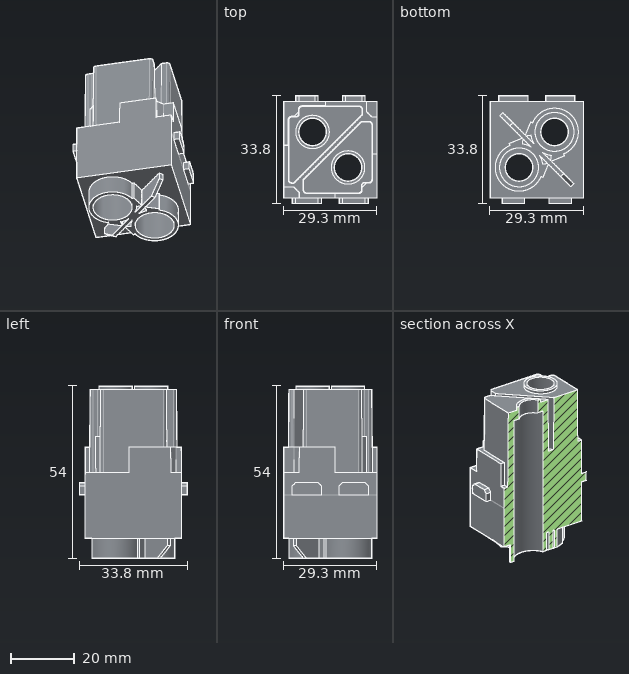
import cadquery as cq
import math


total_height = 53.95
block_bottom = 6.25
lug_bottom = 19.9
ledge_height = 26.9
block_top = 34.8
notch_shelf_height = 38.15
tower_top = 52.9

block_width = 29.3
block_depth = 30.3
draft = 0.5
face_draft = 0.3
ledge_edge_x = -1.5
ledge_edge_y = 1.4
corner_notch_bevel = 1.65
front_notch_x = 9.75
front_notch_y = 11.75
back_notch_x = 11.4
back_notch_y = 10.25

overall_depth = 33.8
lug_reach = (overall_depth - block_depth) / 2
lug_height = 3.8
lug_chamfer = 1.0
lug_center_x = 7.35
front_lug_width = 9.15
back_lug_width = 7.1

tower_outer_x = 13.0
tower_outer_y = 13.55
large_tip_x = 9.9
large_tip_y = 10.35
small_tip_x = 8.35
small_tip_y = 8.75
gap_offset = 1.1
key_notch_x = 9.75
key_notch_y = 10.25
key_shelf_cut = 1.7
tower_round = 0.95

bore_offset = 5.55
rim_radius = 5.25
mouth_radius = 4.25
mouth_depth = 4.6
bore_radius = 6.1
foot_radius = 7.45

rib_thickness = 1.35
rib_length = 31.45
rib_end_height = 4.0
rib_bottom_cut = 4.5
tooth_radius = 8.1
tooth_length = 4.75
tooth_angle = 22.5

overshoot = 2.7


def half_turn(shape):
    return shape.rotate((0, 0, 0), (0, 0, 1), 180)


def make_block():
    block = (
        cq.Workplane("XY", origin=(0, 0, block_bottom))
        .rect(block_width, block_depth)
        .extrude(block_top - block_bottom)
    )
    for cut in (make_face_draft(), make_ledge()):
        block = block.cut(cut).cut(half_turn(cut))
    block = block.cut(make_corner_notch(front_notch_x, front_notch_y))
    return block.cut(half_turn(make_corner_notch(back_notch_x, back_notch_y)))


def make_face_draft():
    front = -block_depth / 2
    rise = block_top - lug_bottom
    return (
        cq.Workplane("YZ", origin=(-block_width / 2 - overshoot, 0, 0))
        .moveTo(front, lug_bottom)
        .lineTo(front + rise * math.tan(math.radians(face_draft)), block_top)
        .lineTo(front, block_top)
        .close()
        .extrude(block_width + 2 * overshoot)
    )


def make_ledge():
    left = -block_width / 2 - overshoot
    back = block_depth / 2 + overshoot
    return (
        cq.Workplane("XY", origin=(0, 0, ledge_height))
        .moveTo(left, ledge_edge_y)
        .lineTo(ledge_edge_x, ledge_edge_y)
        .lineTo(ledge_edge_x, back)
        .lineTo(left, back)
        .close()
        .extrude(block_top - ledge_height, taper=-draft)
    )


def make_corner_notch(notch_x, notch_y):
    left = -block_width / 2 - overshoot
    front = -block_depth / 2 - overshoot
    return (
        cq.Workplane("XY", origin=(0, 0, ledge_height))
        .moveTo(left, front)
        .lineTo(-notch_x, front)
        .lineTo(-notch_x, -notch_y - corner_notch_bevel)
        .lineTo(-notch_x - corner_notch_bevel, -notch_y)
        .lineTo(left, -notch_y)
        .close()
        .extrude(block_top - ledge_height, taper=-draft)
    )


def make_lug(center_x, width, side):
    length = lug_reach + overshoot
    center_y = side * (block_depth / 2 + lug_reach - length / 2)
    return (
        cq.Workplane("XY", origin=(center_x, center_y, lug_bottom))
        .rect(width, length)
        .extrude(lug_height)
        .edges("|Y and >Z")
        .chamfer(lug_chamfer)
    )


def make_tower(tip_x, tip_y):
    outer_corners = [
        (-key_notch_x, tower_outer_y),
        (tip_x, tower_outer_y),
        (-tower_outer_x, -tip_y),
        (-tower_outer_x, key_notch_y),
    ]
    key_corner = (-key_notch_x, key_notch_y)
    outline = cq.Sketch().polygon(
        [
            outer_corners[0],
            outer_corners[1],
            (tip_x, tip_x + gap_offset),
            (-tip_y - gap_offset, -tip_y),
            outer_corners[2],
            outer_corners[3],
            key_corner,
            outer_corners[0],
        ]
    )
    for corner in outer_corners + [key_corner]:
        outline = round_corner(outline, corner, tower_round)
    tower = (
        cq.Workplane("XY", origin=(0, 0, tower_top))
        .placeSketch(outline)
        .extrude(ledge_height - tower_top, taper=-draft)
    )
    return tower.union(make_key_shelf())


def round_corner(outline, corner, radius):
    nearest = cq.selectors.NearestToPointSelector((*corner, 0))
    return outline.reset().vertices(nearest).fillet(radius).reset()


def make_key_shelf():
    return (
        cq.Workplane("XY", origin=(0, 0, ledge_height))
        .moveTo(-key_notch_x - key_shelf_cut, key_notch_y)
        .lineTo(-key_notch_x, key_notch_y + key_shelf_cut)
        .lineTo(-key_notch_x + tower_round, key_notch_y)
        .lineTo(-key_notch_x, key_notch_y - tower_round)
        .close()
        .extrude(notch_shelf_height - ledge_height)
    )


def make_cylinder(radius, bottom, top):
    return (
        cq.Workplane("XY", origin=(-bore_offset, bore_offset, bottom))
        .circle(radius)
        .extrude(top - bottom)
    )


def make_rib():
    half = rib_length / 2
    return (
        cq.Workplane("XZ", origin=(0, rib_thickness / 2, 0))
        .moveTo(-half, block_bottom)
        .lineTo(-half, rib_end_height)
        .lineTo(-half + rib_bottom_cut, 0)
        .lineTo(half - rib_bottom_cut, 0)
        .lineTo(half, rib_end_height)
        .lineTo(half, block_bottom)
        .close()
        .extrude(rib_thickness)
        .rotate((0, 0, 0), (0, 0, 1), 45)
    )


def make_teeth():
    tooth = (
        cq.Workplane("XY")
        .moveTo(0, 0)
        .lineTo(0, -tooth_radius)
        .lineTo(tooth_length, -tooth_radius)
        .close()
        .extrude(block_bottom)
        .rotate((0, 0, 0), (0, 0, 1), -tooth_angle)
        .translate((-bore_offset, bore_offset, 0))
    )
    mirrored_across_rib = tooth.mirror("YZ").rotate((0, 0, 0), (0, 0, 1), -90)
    return tooth.union(mirrored_across_rib)


result = make_block()

for side, width in ((-1, front_lug_width), (1, back_lug_width)):
    for center_x in (-lug_center_x, lug_center_x):
        result = result.union(make_lug(center_x, width, side))

result = result.union(make_tower(large_tip_x, large_tip_y))
result = result.union(half_turn(make_tower(small_tip_x, small_tip_y)))

half_parts = [
    make_cylinder(rim_radius, tower_top - overshoot, total_height),
    make_cylinder(foot_radius, 0, block_bottom),
    make_teeth(),
]
for solid in half_parts:
    result = result.union(solid).union(half_turn(solid))
result = result.union(make_rib())

mouth_bottom = total_height - mouth_depth
half_cuts = [
    make_cylinder(mouth_radius, mouth_bottom, total_height),
    make_cylinder(bore_radius, 0, mouth_bottom),
]
for solid in half_cuts:
    result = result.cut(solid).cut(half_turn(solid))